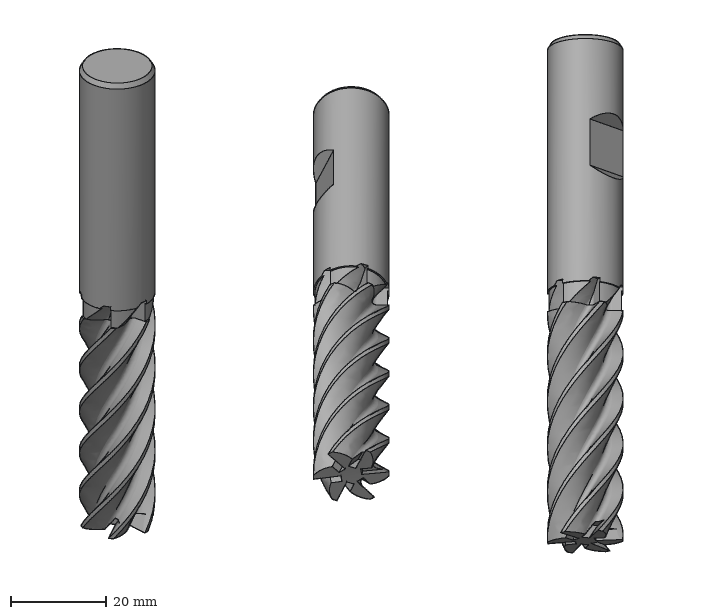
import cadquery as cq
import math

TOTAL_LENGTH = 110.0
SHANK_RADIUS = 16.0 / 2
CUTTER_LENGTH = 50.9

NECK_RADIUS = 15.3 / 2
NECK_TOP = 55.2
TOP_CHAMFER_HEIGHT = 1.1
TOP_CHAMFER_WIDTH = 0.7
FLAT_DEPTH = 2.0
FLAT_BOTTOM = 80.8
FLAT_TOP = 91.1

FLUTE_COUNT = 6
LEAD = 60.4
TWIST_PER_LENGTH = 360 / LEAD
FLUTE_STEP = 360 / FLUTE_COUNT
EDGE_ANGLE = 1.2
LAND_ANGLE = 8.0
RUNOUT_TOP = 56.1
RUNOUT_TWIST = 41.0

RAKE_FOOT_RADIUS = 5.7
RAKE_FOOT_ANGLE = 2.2
CORE_RADIUS = 4.7
CORE_ANGLE = 8.0
BACK_FOOT_RADIUS = 4.8
BACK_FOOT_ANGLE = 21.0
BACK_EXIT_RADIUS = 9.0
BACK_EXIT_ANGLE = 63.0
OVERCUT = 1.3
SLICE_THICKNESS = 1.1

GASH_HEIGHT = 3.1
GASH_LEAN = 2.0
GASH_FLOOR_WIDTH = 1.3
GASH_MOUTH_WIDTH = 1.6
GASH_START_RADIUS = 2.2
DISH_DEPTH = 0.2


def polar(radius, degrees):
    """Point at a radius and an angle about the Z axis."""
    angle = math.radians(degrees)
    return (radius * math.cos(angle), radius * math.sin(angle))


def extended(start, end):
    """Point on a line, past its end, so that a cut clears the outside of the part."""
    return (
        start[0] + OVERCUT * (end[0] - start[0]),
        start[1] + OVERCUT * (end[1] - start[1]),
    )


def flute_profile(height, edge_angle):
    """Cross-section of one flute: bulging back, rounded core and straight rake up to the edge."""
    back_exit = polar(BACK_EXIT_RADIUS, edge_angle - BACK_EXIT_ANGLE)
    back_foot = polar(BACK_FOOT_RADIUS, edge_angle - BACK_FOOT_ANGLE)
    rake_foot = polar(RAKE_FOOT_RADIUS, edge_angle - RAKE_FOOT_ANGLE)
    core = polar(CORE_RADIUS, edge_angle - CORE_ANGLE)
    land_end = polar(SHANK_RADIUS, edge_angle - FLUTE_STEP + LAND_ANGLE)
    edge = polar(SHANK_RADIUS, edge_angle)
    outside = polar(SHANK_RADIUS * OVERCUT, edge_angle - FLUTE_STEP / 2)
    return (
        cq.Workplane("XY", origin=(0, 0, height))
        .moveTo(*back_exit)
        .threePointArc(land_end, back_foot)
        .threePointArc(core, rake_foot)
        .lineTo(*extended(rake_foot, edge))
        .lineTo(*outside)
        .close()
    )


def flute_angles(height):
    """Angle of every cutting edge at a height."""
    return [EDGE_ANGLE + height * TWIST_PER_LENGTH + i * FLUTE_STEP for i in range(FLUTE_COUNT)]


def gash(edge_angle):
    """Pocket in front of one end tooth, its wall leaning with the helix."""
    profile = [
        (0, 0),
        (GASH_LEAN, GASH_HEIGHT),
        (GASH_LEAN - GASH_FLOOR_WIDTH, GASH_HEIGHT),
        (-GASH_MOUTH_WIDTH, 0),
    ]
    return (
        cq.Workplane("YZ", origin=(GASH_START_RADIUS, 0, 0))
        .polyline(profile)
        .close()
        .extrude(SHANK_RADIUS)
        .rotate((0, 0, 0), (0, 0, 1), edge_angle)
    )


def make_cutter():
    """Fluted cutting length with a gash at every end tooth and a slightly hollow end."""
    section = cq.Workplane("XY").circle(SHANK_RADIUS).extrude(SLICE_THICKNESS)
    for edge_angle in flute_angles(0):
        section = section.cut(flute_profile(0, edge_angle).extrude(SLICE_THICKNESS))
    cutter = (
        section.faces("<Z")
        .wires()
        .toPending()
        .copyWorkplane(cq.Workplane("XY"))
        .twistExtrude(CUTTER_LENGTH, CUTTER_LENGTH * TWIST_PER_LENGTH, combine=False)
    )
    for edge_angle in flute_angles(0):
        cutter = cutter.cut(gash(edge_angle))
    dish = cq.Workplane("XY").add(cq.Solid.makeCone(SHANK_RADIUS, 0, DISH_DEPTH))
    return cutter.cut(dish)


def make_runout(edge_angle):
    """Pocket where a flute fades out: the helical back turns quickly across to an upright rake wall."""
    length = RUNOUT_TOP - CUTTER_LENGTH
    helical = flute_profile(CUTTER_LENGTH, edge_angle).twistExtrude(length, RUNOUT_TWIST)
    straight = flute_profile(CUTTER_LENGTH, edge_angle).extrude(length)
    return helical.intersect(straight)


def make_flat_notch():
    """Clamping flat on the +Y side with ends sloping out at 45 degrees."""
    flat_y = SHANK_RADIUS - FLAT_DEPTH
    profile = [
        (flat_y, FLAT_BOTTOM),
        (flat_y, FLAT_TOP),
        (SHANK_RADIUS, FLAT_TOP + FLAT_DEPTH),
        (SHANK_RADIUS, FLAT_BOTTOM - FLAT_DEPTH),
    ]
    return cq.Workplane("YZ").polyline(profile).close().extrude(SHANK_RADIUS, both=True)


def make_shank():
    """Round shank with a clamping flat and a slimmer neck where the flutes run out."""
    outline = [
        (0, CUTTER_LENGTH),
        (NECK_RADIUS, CUTTER_LENGTH),
        (NECK_RADIUS, NECK_TOP),
        (SHANK_RADIUS, NECK_TOP),
        (SHANK_RADIUS, TOTAL_LENGTH - TOP_CHAMFER_HEIGHT),
        (SHANK_RADIUS - TOP_CHAMFER_WIDTH, TOTAL_LENGTH),
        (0, TOTAL_LENGTH),
    ]
    shank = cq.Workplane("XZ").polyline(outline).close().revolve(360, (0, 0, 0), (0, 1, 0))
    shank = shank.cut(make_flat_notch())
    for edge_angle in flute_angles(CUTTER_LENGTH):
        shank = shank.cut(make_runout(edge_angle))
    return shank


shank = make_shank()
cutter = make_cutter()
result = cq.Compound.makeCompound([shank.val(), cutter.val()])